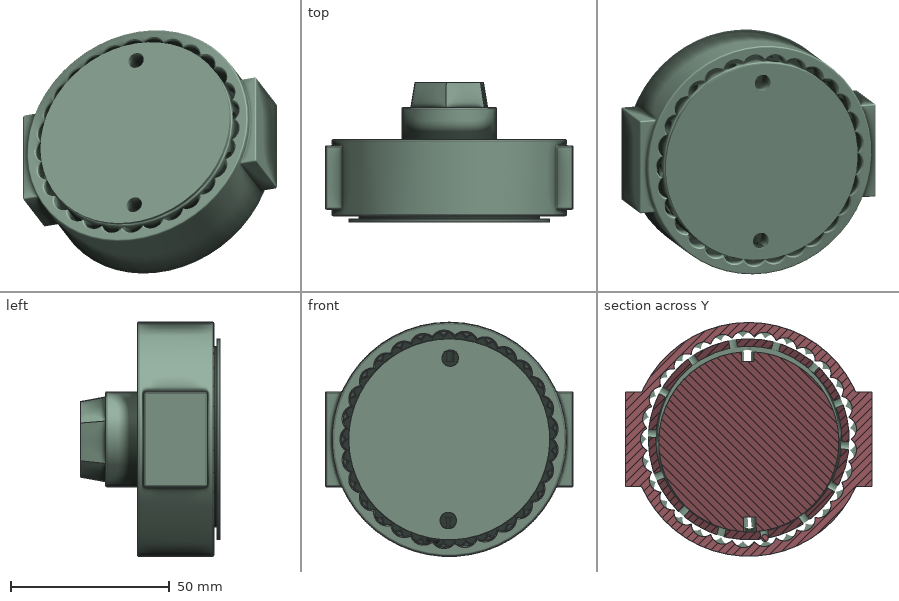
import cadquery as cq
import math

HOUSING_RADIUS = 36.93
HOUSING_FRONT = 1.95
HOUSING_BACK = 26.05
BACK_WALL = 6.25
EDGE_ROUND = 0.5

LUG_REACH = 39.0
LUG_LENGTH = 20.0
LUG_HEIGHT = 29.95

VALLEY_COUNT = 29
VALLEY_RADIUS = 3.9
VALLEY_TIP_RADIUS = 34.1
VALLEY_CHAMFER = 0.4
FIRST_VALLEY_ANGLE = 180.0
ROW_LENGTH = 6.25

CRANK_TURN = 0.7
FLANGE_RADIUS = 31.7
FLANGE_THICKNESS = 1.0
JOURNAL_RADIUS = 28.5
ECCENTRICITY = 0.8
PIN_HOLE_RADIUS = 2.6
PIN_HOLE_OFFSET = 25.6
LOWER_FLOOR_THICKNESS = 0.8
NOTCH_RADIUS = 1.95
NOTCH_INNER_END = 24.6
UPPER_NOTCH_WIDTH = 2.2
LOWER_NOTCH_WIDTH = 1.1

CAGE_RADIUS = 31.75
BALL_HOLE_COUNT = 14
BOSS_RADIUS = 15.0
BOSS_BACK = 36.0
HEX_BACK = 44.0
HEX_BASE_CORNER_RADIUS = 13.4
HEX_TIP_CORNER_RADIUS = 11.9
HEX_CORNERS = 6
HEX_TURN = 34.5

BALL_RADIUS = 2.3
BALL_VALLEY = 6

PITCH = 360.0 / VALLEY_COUNT
VALLEY_CENTRE = VALLEY_TIP_RADIUS - VALLEY_RADIUS
SECOND_VALLEY_ANGLE = FIRST_VALLEY_ANGLE + PITCH / 2
ROW_MIDDLE = HOUSING_FRONT + ROW_LENGTH
ROW_END = ROW_MIDDLE + ROW_LENGTH
CAVITY_END = HOUSING_BACK - BACK_WALL
CAGE_BORE = JOURNAL_RADIUS + ECCENTRICITY
BALL_CENTRE = CAGE_BORE + BALL_RADIUS
BALL_ANGLE = SECOND_VALLEY_ANGLE + BALL_VALLEY * PITCH
FIRST_ROW_DEPTH = HOUSING_FRONT + ROW_LENGTH / 2
SECOND_ROW_DEPTH = ROW_MIDDLE + ROW_LENGTH / 2

ALONG_Y = cq.Vector(0, 1, 0)
SELECTION_MARGIN = 0.1


def polar(radius, y, degrees):
    """Point at a radius, a depth and an angle from +X towards +Z."""
    angle = math.radians(degrees)
    return cq.Vector(radius * math.cos(angle), y, radius * math.sin(angle))


def cylinder(radius, front, back, x=0.0, z=0.0):
    """Cylinder along Y between two depths."""
    return cq.Workplane(cq.Solid.makeCylinder(radius, back - front, cq.Vector(x, front, z), ALONG_Y))


def make_drum():
    """Rounded drum with a lug on each side, its edges and its joint rounded too."""
    drum = cylinder(HOUSING_RADIUS, HOUSING_FRONT, HOUSING_BACK).edges().fillet(EDGE_ROUND)
    middle = (HOUSING_FRONT + HOUSING_BACK) / 2
    lug_bar = cq.Workplane().box(2 * LUG_REACH, LUG_LENGTH, LUG_HEIGHT).translate((0, middle, 0))
    reach = LUG_REACH + SELECTION_MARGIN
    half_length = LUG_LENGTH / 2 + SELECTION_MARGIN
    half_height = LUG_HEIGHT / 2 + SELECTION_MARGIN
    lug_edges = cq.selectors.BoxSelector(
        (-reach, middle - half_length, -half_height), (reach, middle + half_length, half_height)
    )
    return drum.union(lug_bar).edges(lug_edges).fillet(EDGE_ROUND)


def cut_valley_row(body, front, back, first_angle):
    """Cut one row of round valleys, each flared at its front edge."""
    body = body.cut(cylinder(VALLEY_CENTRE, front, back))
    mouth_radius = VALLEY_RADIUS + VALLEY_CHAMFER
    for index in range(VALLEY_COUNT):
        centre = polar(VALLEY_CENTRE, front, first_angle + index * PITCH)
        valley = cq.Solid.makeCylinder(VALLEY_RADIUS, back - front, centre, ALONG_Y)
        flare = cq.Solid.makeCone(mouth_radius, VALLEY_RADIUS, VALLEY_CHAMFER, centre, ALONG_Y)
        body = body.cut(cq.Workplane(valley)).cut(cq.Workplane(flare))
    return body


def make_housing():
    """Drum with two internal tooth rows and a bored back wall."""
    body = cut_valley_row(make_drum(), HOUSING_FRONT, ROW_MIDDLE, FIRST_VALLEY_ANGLE)
    body = cut_valley_row(body, ROW_MIDDLE, CAVITY_END, SECOND_VALLEY_ANGLE)
    return body.cut(cylinder(BOSS_RADIUS, CAVITY_END, HOUSING_BACK))


def notch_cutter(side, floor, width):
    """Round cutter lying radially, sunk so that it opens the floor by the given width."""
    lift = math.sqrt(NOTCH_RADIUS**2 - (width / 2) ** 2)
    start = cq.Vector(0, floor + lift, side * NOTCH_INNER_END)
    length = CAGE_BORE - NOTCH_INNER_END
    return cq.Workplane(cq.Solid.makeCylinder(NOTCH_RADIUS, length, start, cq.Vector(0, 0, side)))


def make_crank():
    """Flange with two opposed eccentric journals and two notched pin holes."""
    body = cylinder(FLANGE_RADIUS, 0, FLANGE_THICKNESS)
    body = body.union(cylinder(JOURNAL_RADIUS, FLANGE_THICKNESS, ROW_MIDDLE, z=ECCENTRICITY))
    body = body.union(cylinder(JOURNAL_RADIUS, ROW_MIDDLE, ROW_END, z=-ECCENTRICITY))
    upper = (1, ROW_MIDDLE, UPPER_NOTCH_WIDTH)
    lower = (-1, ROW_MIDDLE - LOWER_FLOOR_THICKNESS, LOWER_NOTCH_WIDTH)
    for side, floor, notch_width in (upper, lower):
        body = body.cut(cylinder(PIN_HOLE_RADIUS, 0, floor, z=side * PIN_HOLE_OFFSET))
        body = body.cut(notch_cutter(side, floor, notch_width))
    return body.rotate((0, 0, 0), (0, 1, 0), CRANK_TURN)


def cut_ball_holes(body, depth, first_angle):
    """Drill one row of radial ball holes through the cage."""
    for index in range(BALL_HOLE_COUNT):
        angle = first_angle + index * 360.0 / BALL_HOLE_COUNT
        start = polar(JOURNAL_RADIUS, depth, angle)
        hole = cq.Solid.makeCylinder(BALL_RADIUS, 2 * BALL_RADIUS, start, polar(1, 0, angle))
        body = body.cut(cq.Workplane(hole))
    return body


def make_cage():
    """Cup that surrounds the journals and carries the balls in radial holes."""
    cup = cylinder(CAGE_RADIUS, HOUSING_FRONT, CAVITY_END).faces("<Y").edges().fillet(EDGE_ROUND)
    cup = cup.cut(cylinder(CAGE_BORE, HOUSING_FRONT, ROW_END))
    cup = cut_ball_holes(cup, FIRST_ROW_DEPTH, BALL_ANGLE + 180)
    return cut_ball_holes(cup, SECOND_ROW_DEPTH, BALL_ANGLE)


def hexagon(corner_radius, y):
    """Hexagon outline across the axis at one depth."""
    corners = [polar(corner_radius, y, HEX_TURN + i * 360 / HEX_CORNERS) for i in range(HEX_CORNERS)]
    return cq.Wire.makePolygon(corners, close=True)


def make_output_shaft():
    """Ball cage, boss and tapered hexagon in one piece."""
    boss = cylinder(BOSS_RADIUS, CAVITY_END, BOSS_BACK).faces(">Y").edges().fillet(EDGE_ROUND)
    base = hexagon(HEX_BASE_CORNER_RADIUS, BOSS_BACK)
    tip = hexagon(HEX_TIP_CORNER_RADIUS, HEX_BACK)
    drive = cq.Workplane(cq.Solid.makeLoft([base, tip], True))
    return make_cage().union(boss).union(drive)


def make_ball():
    """Ball in a rear cage hole, touching the rear journal."""
    return cq.Workplane().sphere(BALL_RADIUS).translate(polar(BALL_CENTRE, SECOND_ROW_DEPTH, BALL_ANGLE))


housing = make_housing()
crank = make_crank()
output_shaft = make_output_shaft()
ball = make_ball()

result = cq.Compound.makeCompound([housing.val(), crank.val(), output_shaft.val(), ball.val()])